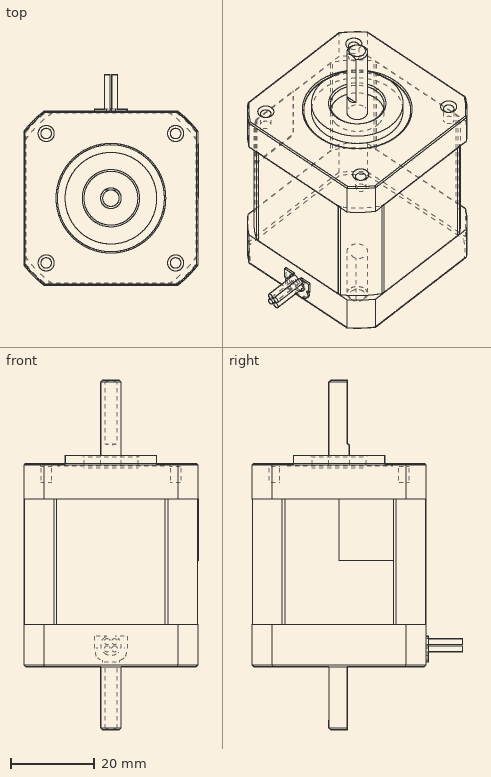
import cadquery as cq

shaft_length = 84.0
body_bottom = 15.1
lower_cap_top = 25.3
upper_cap_bottom = 55.4
body_top = 63.9
pilot_top = 65.9

body_half = 20.9
cap_corner_radius = 26.4
top_bevel = 0.3
bottom_bevel = 0.5

stator_corner_radius = 24.9
stator_flat_half = 13.0
stator_flat_inset = 0.1
stator_ledge_inset = 0.2

shaft_radius = 2.48
shaft_bevel = 0.5
shaft_flat_y = 2.0
round_length_top = 68.7
flat_runout = 0.25

pilot_radius = 11.0
groove_radius = 12.85
groove_depth = 0.5
groove_bevel = 0.3
bore_radius = 6.5
bore_depth = 3.0
bore_bevel = 0.4

hole_offset = 15.5
hole_radius = 1.3
hole_depth = 4.5
hole_bevel = 0.7

label_projection = 0.2
label_width = stator_flat_half
label_height = 14.8

wire_radius = 0.71
wire_pitch = 1.8
wire_end_y = 29.65
wire_center_z = 20.3
grommet_half_width = 3.95
grommet_thickness = 0.5
grommet_bottom = 16.3
grommet_top = 22.5
grommet_bar_bottom = 19.65
grommet_stem_half_width = 2.0
grommet_lobe_radius = 1.7
grommet_lobe_z = 18.5
grommet_hole_radius = 2.4

overlap = 0.8


def level(height):
    return cq.Workplane("XY").workplane(offset=height)


def rounded_square(half, corner_radius, bottom, top):
    """A square block whose corners are cut round about the motor axis."""
    height = top - bottom
    block = level(bottom).rect(2 * half, 2 * half).extrude(height)
    return block.intersect(level(bottom).circle(corner_radius).extrude(height))


def turned(profile):
    """Revolve a closed outline of (radius, height) points about the motor axis."""
    return cq.Workplane("XZ").polyline(profile).close().revolve(360, (0, 0), (0, 1))


def stator():
    height = upper_cap_bottom - lower_cap_top
    core_half = body_half - stator_ledge_inset
    core = rounded_square(core_half, stator_corner_radius, lower_cap_top, upper_cap_bottom)
    flat_span = 2 * (body_half - stator_flat_inset)
    flat_width = 2 * stator_flat_half
    flats_on_x = level(lower_cap_top).rect(flat_span, flat_width).extrude(height)
    flats_on_y = level(lower_cap_top).rect(flat_width, flat_span).extrude(height)
    return core.union(flats_on_x).union(flats_on_y)


def body():
    lower_cap = rounded_square(body_half, cap_corner_radius, body_bottom, lower_cap_top)
    upper_cap = rounded_square(body_half, cap_corner_radius, upper_cap_bottom, body_top)
    lower_cap = lower_cap.faces("<Z").chamfer(bottom_bevel)
    upper_cap = upper_cap.faces(">Z").chamfer(top_bevel)
    return lower_cap.union(stator()).union(upper_cap)


def groove():
    """Ring cut around the pilot, flared at its outer rim."""
    floor = body_top - groove_depth
    return turned([
        (pilot_radius, floor),
        (groove_radius, floor),
        (groove_radius, body_top - groove_bevel),
        (groove_radius + groove_bevel, body_top),
        (pilot_radius, body_top),
    ])


def pilot():
    height = pilot_top - body_top
    return level(body_top).circle(pilot_radius).extrude(height)


def bore():
    """Blind bore in the pilot with a beveled mouth."""
    floor = pilot_top - bore_depth
    return turned([
        (0, floor),
        (bore_radius, floor),
        (bore_radius, pilot_top - bore_bevel),
        (bore_radius + bore_bevel, pilot_top),
        (0, pilot_top),
    ])


def mounting_holes():
    """Blind holes with beveled mouths, one near each corner of the top face."""
    floor = body_top - hole_depth
    hole = turned([
        (0, floor),
        (hole_radius, floor),
        (hole_radius, body_top - hole_bevel),
        (hole_radius + hole_bevel, body_top),
        (0, body_top),
    ])
    corners = level(0).rect(2 * hole_offset, 2 * hole_offset, forConstruction=True).vertices()
    return corners.eachpoint(lambda place: hole.val().moved(place), combine=False)


def shaft():
    bar = level(0).circle(shaft_radius).extrude(shaft_length)
    bar = bar.faces("<Z or >Z").chamfer(shaft_bevel)
    width = 2 * shaft_radius
    lower_flat = level(0).center(0, shaft_flat_y + shaft_radius).rect(width, width)
    upper_flat = (
        cq.Workplane("YZ")
        .moveTo(shaft_flat_y, shaft_length)
        .lineTo(shaft_flat_y, round_length_top)
        .lineTo(shaft_radius, round_length_top - flat_runout)
        .lineTo(shaft_radius, shaft_length)
        .close()
    )
    return bar.cut(lower_flat.extrude(body_bottom)).cut(upper_flat.extrude(shaft_radius, both=True))


def label():
    thickness = overlap + label_projection
    block = cq.Workplane("XY").box(thickness, label_width, label_height, centered=False)
    return block.translate((body_half - overlap, 0, upper_cap_bottom - label_height))


def grommet():
    """Plate with a wide bar over a lobed stem, pierced by a round hole for the wires."""
    outer_face = cq.Workplane("XZ", origin=(0, body_half + grommet_thickness, 0))
    depth = grommet_thickness + overlap

    def upright(half_width, bottom):
        height = grommet_top - bottom
        return outer_face.center(0, bottom + height / 2).rect(2 * half_width, height).extrude(depth)

    bar = upright(grommet_half_width, grommet_bar_bottom)
    stem = upright(grommet_stem_half_width, grommet_bottom)
    lobe_centers = [(side * grommet_stem_half_width, grommet_lobe_z) for side in (-1, 1)]
    lobes = outer_face.pushPoints(lobe_centers).circle(grommet_lobe_radius).extrude(depth)
    hole = outer_face.center(0, wire_center_z).circle(grommet_hole_radius)
    return bar.union(stem).union(lobes).cut(hole.extrude(grommet_thickness))


def wires():
    ends = cq.Workplane("XZ", origin=(0, wire_end_y, wire_center_z))
    bundle = ends.rarray(wire_pitch, wire_pitch, 2, 2).circle(wire_radius)
    return bundle.extrude(wire_end_y - body_half + overlap)


housing = body().cut(groove()).cut(mounting_holes()).union(pilot()).cut(bore())
result = housing.union(shaft()).union(label()).union(grommet()).union(wires())